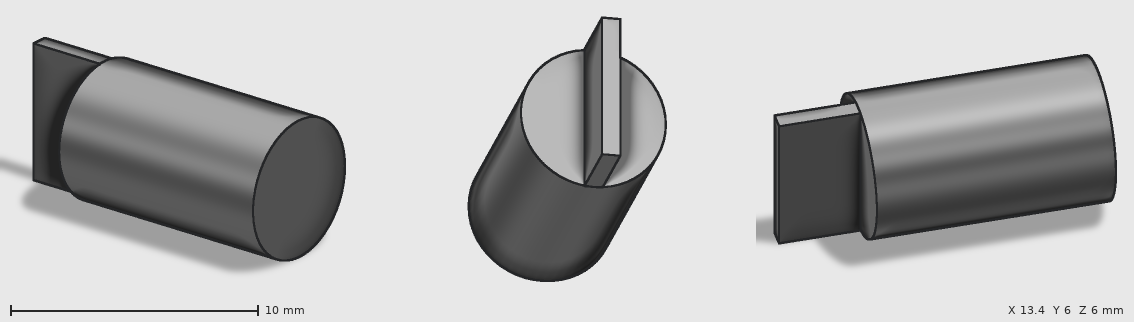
import cadquery as cq

overall_length = 13.39
body_length = 9.99
diameter = 6.0
tab_thickness = 0.75
tab_length = overall_length - body_length

body = cq.Workplane("YZ").circle(diameter / 2).extrude(body_length)

tab = cq.Workplane("YZ").rect(tab_thickness, diameter).extrude(-tab_length)

result = body.union(tab)